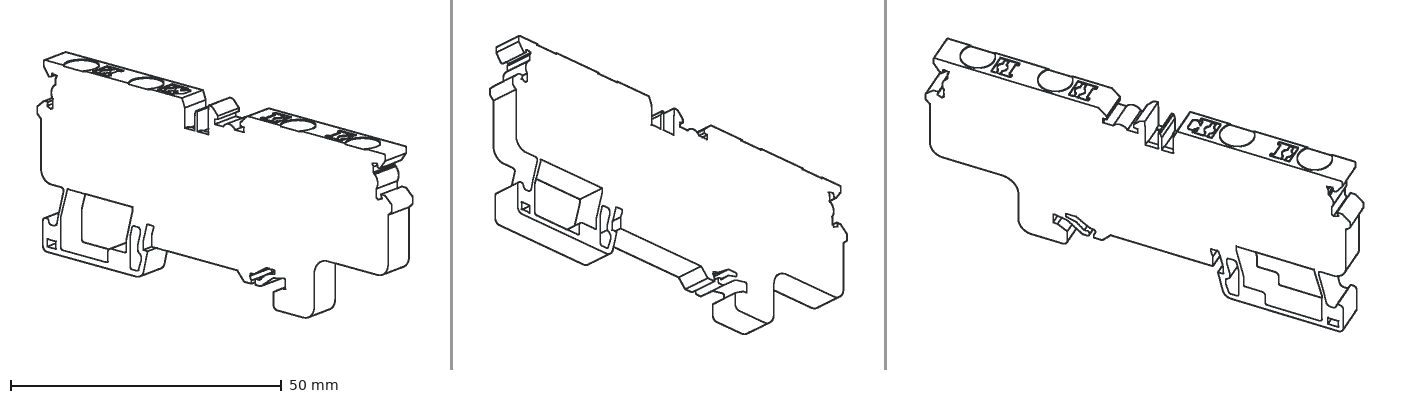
import cadquery as cq
import math

LENGTH = 86.2
THICKNESS = 6.0
HEIGHT = 37.4

HALF_LENGTH = LENGTH / 2
TOP = HEIGHT
BODY_UNDERSIDE = 13.4
RAIL_SEAT = 6.7
HOOK_BOTTOM = 1.05
HOOK_LEFT = 14.3
HOOK_RIGHT = 24.25
TONGUE_BOTTOM = 4.85
END_FACE = 42.2
FOOT_LEFT = -41.75
FOOT_HOOK_TOP = 6.6
FOOT_FLOOR = 1.2

RECESS_DEPTH = 0.2
DISC_RADIUS = 3.25
DISC_Y = -0.8
DISC_INNER_X = 18.45
DISC_PITCH = 15.75
BUTTON_OFFSET = 3.95
BUTTON_LENGTH = 3.95
BUTTON_WIDTH = 4.15
BUTTON_Y = -0.15
BUTTON_STEP = 0.6
BUTTON_ARM = 0.65
DRIVER_SLOT_CENTRE = 1.35
DRIVER_SLOT_WIDTH = 0.8
DRIVER_HOLE_RADIUS = 1.0
DRIVER_DEPTH = 0.4
TEST_POINT_TIP = -11.45
TEST_POINT_SHOULDER = -10.35
TEST_POINT_END = -9.25
TEST_POINT_HALF_WIDTH = 1.45
TEST_POINT_RADIUS = 0.6

CHANNEL_FLOOR = 31.7
CHANNEL_LEFT = -7.2
FIN_LEFT = -4.85
FIN_RIGHT = -4.15
CHANNEL_RIGHT = -1.5
CHANNEL_POCKET_WIDTH = 3.9
CHANNEL_POCKET_DEPTH = 0.3

GROOVE_FLOOR = 34.05
HUMP_X = 3.55
HUMP_HALF_WIDTH = 1.45
HUMP_HEIGHT = 0.8
HUMP_RADIUS = (HUMP_HALF_WIDTH**2 + HUMP_HEIGHT**2) / (2 * HUMP_HEIGHT)
HUMP_APEX = HUMP_HALF_WIDTH**2 / (HUMP_RADIUS - HUMP_HEIGHT)

SHORTEST_LINE = 1e-6


LEFT_END = [
    (-41.5, TOP, 0.3),
    (-41.5, 36.1),
    (-40.2, 34.3, 0.3),
    (-39.6, 34.5, 0.2),
    (-39.6, 35.2, 0.2),
    (-38.35, 34.95),
    (-38.65, 34.35),
    (-38.65, 33.25),
    (-38.95, 32.95),
    (-40.45, 31.85, 2.1),
    (-39.35, 30.2),
    (-39.35, 28.5, 0.2),
    (-39.75, 28.15),
    (-40.7, 28.55),
    (-40.45, 29.35),
    (-41.45, 29.35, 0.4),
    (-HALF_LENGTH, 27.9, 0.3),
    (-HALF_LENGTH, 26.5, 0.5),
    (-END_FACE, 25.7),
    (-END_FACE, BODY_UNDERSIDE, 2.6),
]

SPRING_FOOT = [
    (-36.55, BODY_UNDERSIDE, 0.5),
    (-37.85, 8.2),
    (-38.4, 5.5, 1.0),
    (-40.1, 5.5, 0.6),
    (-40.4, FOOT_HOOK_TOP, 0.5),
    (FOOT_LEFT, FOOT_HOOK_TOP, 0.8),
    (FOOT_LEFT, 0, 1.1),
    (-17.55, 0, 1.9),
    (-16.25, 5.6),
    (-17.35, 5.6),
    (-17.35, 7.2),
    (-16.4, 10.85, 0.3),
    (-14.65, 10.85, 0.3),
    (-15.25, 9.1),
    (-15.25, RAIL_SEAT),
]

RAIL_HOOK = [
    (5.5, RAIL_SEAT),
    (7.2, TONGUE_BOTTOM),
    (8.95, TONGUE_BOTTOM),
    (8.95, 5.5),
    (8.6, 6.3),
    (8.8, 6.9, 0.3),
    (9.7, 6.95),
    (12.55, 8.75),
    (14.7, 8.75, 0.3),
    (14.6, 8.0, 0.3),
    (12.5, 7.45, 0.5),
    (10.85, 6.0),
    (9.9, 6.15, 0.3),
    (9.9, TONGUE_BOTTOM, 0.3),
    (11.2, TONGUE_BOTTOM),
    (14.3, 7.2, 1.5),
    (17.2, 7.75, 0.3),
    (17.2, 5.6),
    (16.3, 5.55),
    (HOOK_LEFT, 4.45),
    (HOOK_LEFT, HOOK_BOTTOM, 1.0),
    (HOOK_RIGHT, HOOK_BOTTOM, 2.7),
    (HOOK_RIGHT, BODY_UNDERSIDE, 3.3),
]

TOP_NOTCHES = [
    (8.0, TOP, 0.4),
    (6.3, 35.85),
    (6.3, 35.1),
    (7.1, 35.0),
    (7.1, GROOVE_FLOOR),
    (HUMP_X + HUMP_HALF_WIDTH, GROOVE_FLOOR),
    (HUMP_X, GROOVE_FLOOR + HUMP_APEX, HUMP_RADIUS),
    (HUMP_X - HUMP_HALF_WIDTH, GROOVE_FLOOR),
    (0.05, GROOVE_FLOOR),
    (0.05, 35.0),
    (0.85, 35.2),
    (0.85, 35.85),
    (-0.6, TOP, 1.3),
    (-1.4, TOP),
    (CHANNEL_RIGHT, 35.8),
    (CHANNEL_RIGHT, CHANNEL_FLOOR),
    (FIN_RIGHT, CHANNEL_FLOOR),
    (FIN_RIGHT, 35.6),
    (-4.55, 35.6),
    (FIN_LEFT, 34.7),
    (FIN_LEFT, CHANNEL_FLOOR),
    (CHANNEL_LEFT, CHANNEL_FLOOR),
    (CHANNEL_LEFT, 35.65),
    (-7.9, TOP),
]

FOOT_WINDOW = [
    (-35.8, BODY_UNDERSIDE),
    (-19.95, BODY_UNDERSIDE),
    (-19.95, 12.6),
    (-21.5, 6.5),
    (-21.5, 4.1, 0.3),
    (-25.9, 4.1, 0.8),
    (-25.9, FOOT_FLOOR, 0.4),
    (-37.35, FOOT_FLOOR, 0.5),
    (-37.35, 7.6),
    (-35.8, 13.1),
]

SPRING_SLOT = [
    (-19.95, 9.8, 0.6),
    (-18.05, 9.8, 0.6),
    (-18.05, 8.6),
    (-18.65, 6.3),
    (-18.65, 5.1),
    (-17.85, 4.4, 0.3),
    (-17.85, 3.4),
    (-18.55, FOOT_FLOOR, 0.5),
    (-20.45, FOOT_FLOOR, 0.4),
    (-20.45, 7.7),
]

PRY_HOLE_LEFT = -40.7
PRY_HOLE_RIGHT = -38.6
PRY_HOLE_BOTTOM = 1.05
PRY_HOLE_TOP = 2.55
PRY_HOLE = [
    (PRY_HOLE_LEFT, PRY_HOLE_BOTTOM),
    (PRY_HOLE_RIGHT, PRY_HOLE_BOTTOM),
    (PRY_HOLE_RIGHT, PRY_HOLE_TOP),
    (PRY_HOLE_LEFT, PRY_HOLE_TOP),
]


def mirrored(corners):
    """The same corners on the other side of X = 0, in reverse order."""
    return [(-corner[0], *corner[1:]) for corner in reversed(corners)]


def corner_arc(before, corner, after):
    """Start, middle and end of the arc that rounds one outline corner."""
    x, z, radius = corner
    to_before = math.atan2(before[1] - z, before[0] - x)
    to_after = math.atan2(after[1] - z, after[0] - x)
    half_turn = math.remainder(to_after - to_before, math.tau) / 2
    half_angle = abs(half_turn)
    bisector = to_before + half_turn
    tangent_length = radius / math.tan(half_angle)
    middle_distance = radius / math.sin(half_angle) - radius

    def step(angle, distance):
        return (x + distance * math.cos(angle), z + distance * math.sin(angle))

    return (
        step(to_before, tangent_length),
        step(bisector, middle_distance),
        step(to_after, tangent_length),
    )


def profile_plate(corners):
    """Extrude a closed X-Z outline over the full thickness, rounding corners that have a radius."""
    position = corners[-1][:2]
    outline = cq.Workplane("XZ", origin=(0, THICKNESS / 2, 0)).moveTo(*position)
    for index, corner in enumerate(corners):
        following = corners[(index + 1) % len(corners)]
        if len(corner) == 2:
            start = middle = end = corner
        else:
            start, middle, end = corner_arc(corners[index - 1], corner, following)
        if math.dist(position, start) > SHORTEST_LINE:
            outline = outline.lineTo(*start)
        if end != start:
            outline = outline.threePointArc(middle, end)
        position = end
    return outline.close().extrude(THICKNESS)


def box_down(x_min, x_max, y_centre, width, z_top, depth):
    """A box that reaches down from z_top."""
    length = x_max - x_min
    box = cq.Workplane("XY").box(length, width, depth)
    return box.translate(((x_min + x_max) / 2, y_centre, z_top - depth / 2))


def cylinder_down(x, y, radius, depth):
    """A cylinder that reaches down from the top face."""
    return cq.Workplane("XY", origin=(x, y, TOP - depth)).circle(radius).extrude(depth)


def block_body():
    outline = LEFT_END + SPRING_FOOT + RAIL_HOOK + mirrored(LEFT_END) + TOP_NOTCHES
    body = profile_plate(outline)
    for opening in (FOOT_WINDOW, SPRING_SLOT, PRY_HOLE):
        body = body.cut(profile_plate(opening))
    return body


def button_recess(disc_x):
    """Recess beside a left-hand disc: a plate with two corner arms, crossed by a driver slot."""
    left = disc_x + BUTTON_OFFSET
    right = left + BUTTON_LENGTH
    slot_x = left + DRIVER_SLOT_CENTRE
    half_slot = DRIVER_SLOT_WIDTH / 2
    notch_width = BUTTON_WIDTH - 2 * BUTTON_ARM
    recess = box_down(left, right, BUTTON_Y, BUTTON_WIDTH, TOP, RECESS_DEPTH)
    recess = recess.cut(box_down(right - BUTTON_STEP, right, BUTTON_Y, notch_width, TOP, RECESS_DEPTH))
    slot = box_down(slot_x - half_slot, slot_x + half_slot, BUTTON_Y, BUTTON_WIDTH, TOP, DRIVER_DEPTH)
    hole = cylinder_down(slot_x, BUTTON_Y, DRIVER_HOLE_RADIUS, DRIVER_DEPTH)
    return recess.union(slot).union(hole)


def add_top_recesses(body):
    for disc_x in (-DISC_INNER_X - DISC_PITCH, -DISC_INNER_X):
        button = button_recess(disc_x)
        body = body.cut(button).cut(button.mirror("YZ"))
        for x in (disc_x, -disc_x):
            body = body.cut(cylinder_down(x, DISC_Y, DISC_RADIUS, RECESS_DEPTH))
    return body


def add_test_point(body):
    """Recess with a pointed left end that runs into the neighbouring button."""
    half_outline = [(TEST_POINT_SHOULDER, TEST_POINT_HALF_WIDTH), (TEST_POINT_END, TEST_POINT_HALF_WIDTH)]
    other_half = [(x, -y) for x, y in reversed(half_outline)]
    recess = (
        cq.Workplane("XY", origin=(0, 0, TOP - RECESS_DEPTH))
        .polyline([(TEST_POINT_TIP, 0)] + half_outline + other_half)
        .close()
        .extrude(RECESS_DEPTH)
        .edges("|Z").edges(">X")
        .fillet(TEST_POINT_RADIUS)
    )
    return body.cut(recess)


def add_channel_pockets(body):
    for left, right in ((CHANNEL_LEFT, FIN_LEFT), (FIN_RIGHT, CHANNEL_RIGHT)):
        pocket = box_down(left, right, 0, CHANNEL_POCKET_WIDTH, CHANNEL_FLOOR, CHANNEL_POCKET_DEPTH)
        body = body.cut(pocket)
    return body


result = block_body()
result = add_top_recesses(result)
result = add_test_point(result)
result = add_channel_pockets(result)